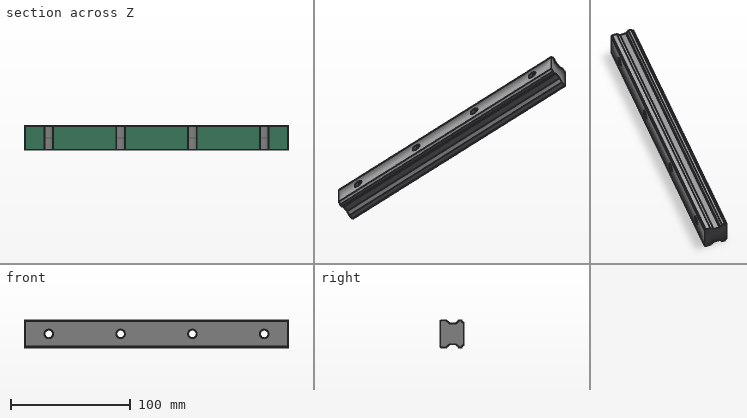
import cadquery as cq
import math

length = 220.0
width = 20.0
height = 23.0

base_chamfer = 1.0
groove_radius = 2.0
lip_width = 2.5
channel_depth = 2.65
channel_mouth_y = -5.0
channel_floor_y = (-2.0, 3.2)
flank_angle = 45.0

hole_diameter = 7.0
hole_count = 4
hole_pitch = 60.0


def arc_point(center_y, center_z, radius, angle):
    """Point on a circle in the cross-section, at an angle in degrees from +Y."""
    a = math.radians(angle)
    return center_y + radius * math.cos(a), center_z + radius * math.sin(a)


def upper_half():
    """Half of the rail above its mid-plane."""
    top = height / 2
    base = -width / 2
    head = width / 2
    floor = top - channel_depth
    floor_start, floor_end = channel_floor_y
    lip_end = head - groove_radius
    lip_start = lip_end - lip_width
    groove_y = lip_start - groove_radius

    slope = math.radians(flank_angle)
    offset = channel_depth * math.cos(slope) - (groove_y - floor_end) * math.sin(slope)
    flank_end_angle = flank_angle - math.degrees(math.acos(offset / groove_radius)) - 90

    return (
        cq.Workplane("YZ")
        .moveTo(base, 0)
        .lineTo(base, top - base_chamfer)
        .lineTo(base + base_chamfer, top)
        .lineTo(channel_mouth_y, top)
        .lineTo(floor_start, floor)
        .lineTo(floor_end, floor)
        .lineTo(*arc_point(groove_y, top, groove_radius, flank_end_angle))
        .threePointArc(
            arc_point(groove_y, top, groove_radius, flank_end_angle / 2),
            (lip_start, top),
        )
        .lineTo(lip_end, top)
        .threePointArc(
            arc_point(head, top, groove_radius, -135),
            (head, top - groove_radius),
        )
        .lineTo(head, 0)
        .close()
        .extrude(length / 2, both=True)
    )


def mounting_holes():
    """Row of plain holes centred on the rail length."""
    return (
        cq.Workplane("XZ")
        .rarray(hole_pitch, 1, hole_count, 1)
        .circle(hole_diameter / 2)
        .extrude(width, both=True)
    )


half = upper_half()
rail = half.union(half.mirror("XY")).clean()
result = rail.cut(mounting_holes())